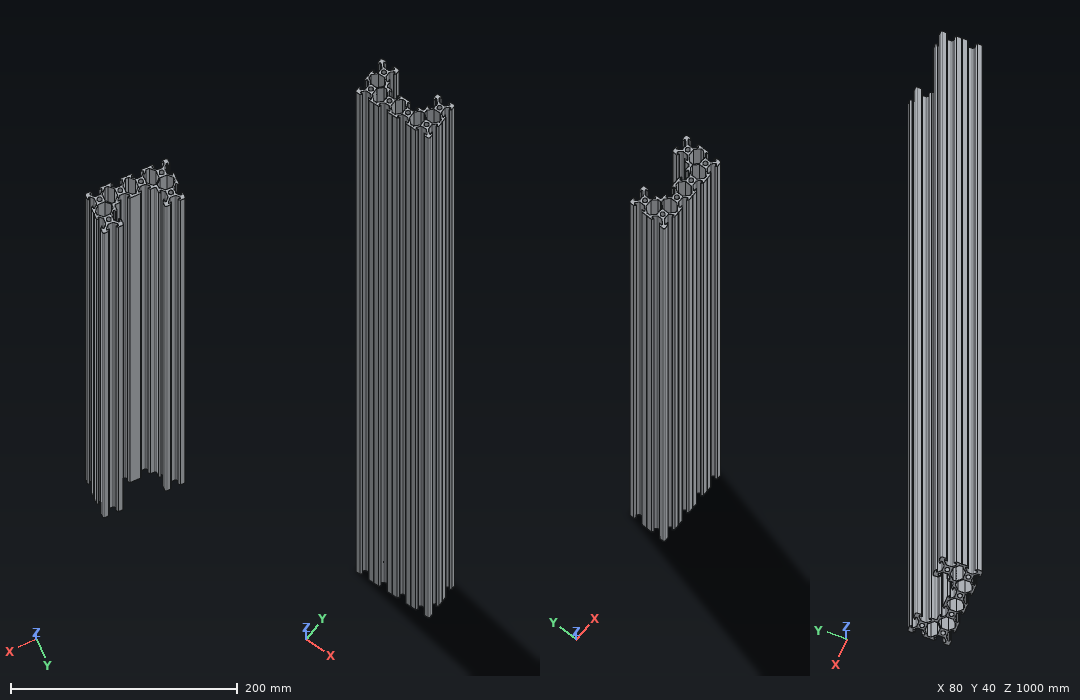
import cadquery as cq

LENGTH = 1000.0
CELL = 20.0
HALF_CELL = CELL / 2
WIDTH = 4 * CELL
DEPTH = 2 * CELL
CORNER_RADIUS = 1.5

CORE = 8.0
BORE = 4.2

LIP = 1.8
MOUTH = 9.5
THROAT = 6.2
BEVEL = (MOUTH - THROAT) / 2
POCKET = 11.0
FLOOR = 5.1
FLOOR_TAPER = (POCKET - FLOOR) / 2
FLOOR_RADIUS = 1.4

CAVITY_WIDTH = CELL - CORE
CAVITY_HEIGHT = 15.6
CAVITY_SIDE = 6.6
CAVITY_CHAMFER = (CAVITY_HEIGHT - CAVITY_SIDE) / 2

GROOVE_WIDTH = 0.8
GROOVE_DEPTH = GROOVE_WIDTH / 2

BASE_Y = -HALF_CELL
LEG_Y = HALF_CELL
INNER_X = HALF_CELL
OUTER_X = 3 * HALF_CELL

UP, LEFT, DOWN, RIGHT = 0, 90, 180, 270


def with_mirror(right_half):
    """Join the right half of an outline to its mirror image across the Y axis."""
    return right_half + [(-x, y) for x, y in reversed(right_half)]


def prism(points):
    return cq.Workplane("XY").polyline(points).close().extrude(LENGTH)


def slot_shape():
    """Slot of a cell centred on the origin, opening toward +Y."""
    lip_y = HALF_CELL - LIP
    floor_y = CORE / 2
    right_half = [
        (MOUTH / 2, HALF_CELL),
        (THROAT / 2, HALF_CELL - BEVEL),
        (THROAT / 2, lip_y),
        (POCKET / 2, lip_y),
        (POCKET / 2, floor_y + FLOOR_TAPER),
        (FLOOR / 2, floor_y),
    ]
    return prism(with_mirror(right_half)).faces("<Y").edges("|Z").fillet(FLOOR_RADIUS)


def cavity_shape():
    """Cavity centred on the origin, tall along Y."""
    block = cq.Workplane("XY").box(CAVITY_WIDTH, CAVITY_HEIGHT, LENGTH, centered=(True, True, False))
    return block.edges("|Z").chamfer(CAVITY_CHAMFER)


def groove_shape():
    """V-groove in the outer face one half cell above the origin."""
    bottom_y = HALF_CELL - GROOVE_DEPTH
    return prism([(-GROOVE_WIDTH / 2, HALF_CELL), (GROOVE_WIDTH / 2, HALF_CELL), (0, bottom_y)])


def channel_blank():
    """Solid C-shaped bar with all its corners rounded."""
    blank = cq.Workplane("XY").box(WIDTH, DEPTH, LENGTH, centered=(True, True, False))
    trough = cq.Workplane("XY").box(2 * CELL, CELL, LENGTH, centered=(True, False, False))
    return blank.cut(trough).edges("|Z").fillet(CORNER_RADIUS)


def cut_at(body, shape, places):
    """Cut the shape at each (x, y, direction)."""
    for x, y, direction in places:
        body = body.cut(shape.rotate((0, 0, 0), (0, 0, 1), direction).translate((x, y, 0)))
    return body


slots = []
cavities = [(0, BASE_Y, UP)]
grooves = [(0, BASE_Y, DOWN)]
bores = []
for side, outward, inward in ((-1, LEFT, RIGHT), (1, RIGHT, LEFT)):
    inner_x = side * INNER_X
    outer_x = side * OUTER_X
    between_x = side * CELL
    slots += [
        (outer_x, LEG_Y, UP),
        (outer_x, LEG_Y, outward),
        (outer_x, LEG_Y, inward),
        (outer_x, BASE_Y, outward),
        (outer_x, BASE_Y, DOWN),
        (inner_x, BASE_Y, DOWN),
        (inner_x, BASE_Y, UP),
    ]
    cavities += [(between_x, BASE_Y, UP), (outer_x, 0, outward)]
    grooves += [(between_x, BASE_Y, DOWN), (outer_x, 0, outward)]
    bores += [(outer_x, LEG_Y), (outer_x, BASE_Y), (inner_x, BASE_Y)]

result = channel_blank()
result = cut_at(result, slot_shape(), slots)
result = cut_at(result, cavity_shape(), cavities)
result = cut_at(result, groove_shape(), grooves)
result = result.cut(cq.Workplane("XY").pushPoints(bores).circle(BORE / 2).extrude(LENGTH))